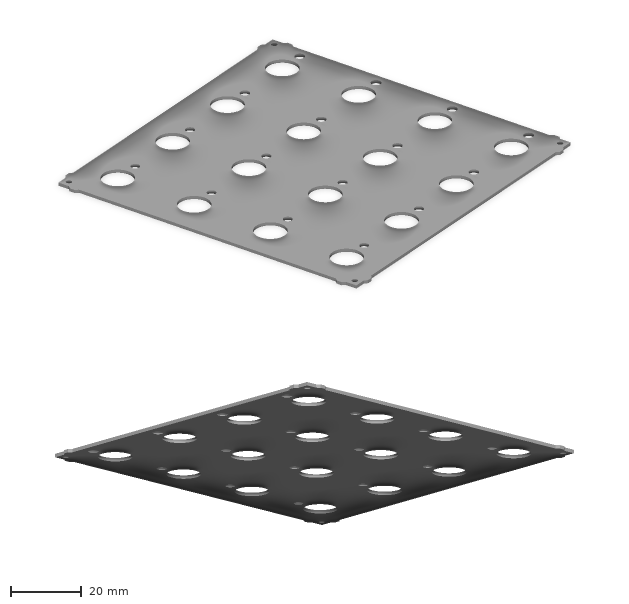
import cadquery as cq

overall_size = 105.6
plate_size = 103.9
thickness = 1.0

tab_offset = 46.6
tab_base = 3.6
tab_tip = 1.7
tab_height = (overall_size - plate_size) / 2

grid_count = 4
grid_pitch = 26.6
large_diameter = 9.8
small_shift = 8.5
small_diameters = (2.7, 2.9, 3.0, 3.1)

corner_diameter = 1.8
corner_spacing = 99.7


def edge_tab(center):
    """Trapezoidal tab standing on the -Y edge of the plate."""
    base_y = -plate_size / 2
    tip_y = base_y - tab_height
    outline = [
        (center - tab_base / 2, base_y),
        (center - tab_tip / 2, tip_y),
        (center + tab_tip / 2, tip_y),
        (center + tab_base / 2, base_y),
    ]
    return cq.Workplane("XY").polyline(outline).close().extrude(thickness)


def drill(body, points, diameter):
    """Cut round through holes at the given points."""
    cutter = cq.Workplane("XY").pushPoints(points).circle(diameter / 2).extrude(thickness)
    return body.cut(cutter)


result = cq.Workplane("XY").rect(plate_size, plate_size).extrude(thickness)

for edge_angle in (0, 90, 180, 270):
    for center in (-tab_offset, tab_offset):
        tab = edge_tab(center).rotate((0, 0, 0), (0, 0, 1), edge_angle)
        result = result.union(tab)

grid = [(i - (grid_count - 1) / 2) * grid_pitch for i in range(grid_count)]
for y, small_diameter in zip(grid, small_diameters):
    result = drill(result, [(x, y) for x in grid], large_diameter)
    result = drill(result, [(x, y + small_shift) for x in grid], small_diameter)

corner = corner_spacing / 2
corners = [(x, y) for x in (-corner, corner) for y in (-corner, corner)]
result = drill(result, corners, corner_diameter)